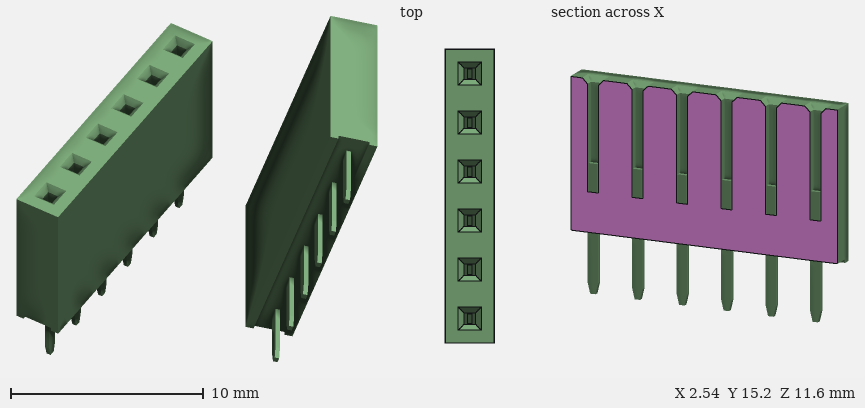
import cadquery as cq


contact_count = 6
body_length = 15.24
pitch = body_length / contact_count
body_width = pitch
body_height = 8.5

channel_width = 1.68
channel_depth = 0.2

mouth_size = 1.2
hole_size = 0.6
funnel_depth = (mouth_size - hole_size) / 2
socket_depth = 6.1
socket_floor = body_height - socket_depth

pin_thickness = 0.25
pin_width = 0.6
pin_tip_width = 0.3
pin_taper_length = 0.6
pin_length = 3.1
blade_width = 0.5
blade_height = 1.52

contact_positions = [
    (0, (index - (contact_count - 1) / 2) * pitch) for index in range(contact_count)
]


def make_body():
    block = cq.Workplane("XY").box(body_width, body_length, body_height, centered=(True, True, False))
    channel = cq.Workplane("XY").box(channel_width, body_length, channel_depth, centered=(True, True, False))
    return block.cut(channel)


def make_sockets():
    funnels = (
        cq.Workplane("XY", origin=(0, 0, body_height))
        .pushPoints(contact_positions)
        .rect(mouth_size, mouth_size)
        .extrude(-funnel_depth, taper=45)
    )
    holes = (
        cq.Workplane("XY", origin=(0, 0, socket_floor))
        .pushPoints(contact_positions)
        .rect(hole_size, hole_size)
        .extrude(socket_depth)
    )
    return funnels.union(holes)


def make_blades():
    return (
        cq.Workplane("XY", origin=(0, 0, socket_floor))
        .pushPoints(contact_positions)
        .rect(pin_thickness, blade_width)
        .extrude(blade_height)
    )


def make_pin(position):
    """Flat pin hanging from the channel ceiling, narrowing in width at its tip."""
    outline = [
        (-pin_width / 2, channel_depth),
        (-pin_width / 2, pin_taper_length - pin_length),
        (-pin_tip_width / 2, -pin_length),
        (pin_tip_width / 2, -pin_length),
        (pin_width / 2, pin_taper_length - pin_length),
        (pin_width / 2, channel_depth),
    ]
    pin = cq.Workplane("YZ").polyline(outline).close().extrude(pin_thickness / 2, both=True)
    x, y = position
    return pin.translate((x, y, 0))


result = make_body().cut(make_sockets()).union(make_blades())
for contact_position in contact_positions:
    result = result.union(make_pin(contact_position))